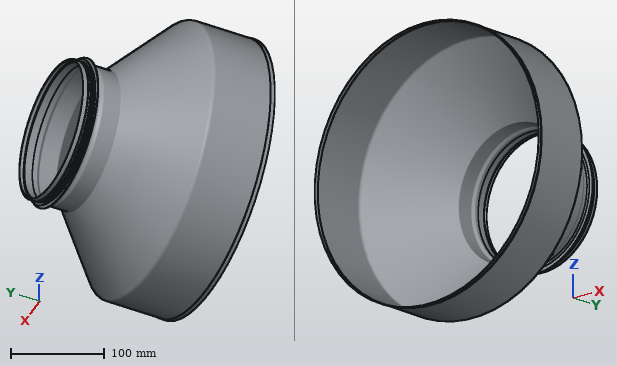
import cadquery as cq
import math

total_length = 189.98
sheet = 0.5

lip_radius = 317.47 / 2
lip_length = 5.2
barrel_radius = 316.45 / 2
shoulder_y = 72.7
shoulder_bend = 5.2

spigot_radius = 159.0 / 2
spigot_base_depth = 44.7
neck_bend = 1.2
curl_radius = 155.4 / 2
curl_bend = 1.5
groove_radius = 154.2 / 2
groove_start_depth = 5.9
groove_end_depth = 20.7
ramp_end_depth = 24.0
ramp_bend = 1.5

seal_base_radius = 157.6 / 2
seal_collar_radius = 159.0 / 2
fin_thickness = 1.0
seal_end_depth = 15.2
seal_fins = [
    (164.4 / 2, 11.4, 2.0),
    (169.4 / 2, seal_end_depth, 1.2),
]


def from_end(depth):
    """Y position of a point lying the given depth behind the spigot end."""
    return total_length - depth


def left_normal(start, end):
    """Unit vector pointing left of the direction from start to end."""
    length = math.dist(start, end)
    return (start[1] - end[1]) / length, (end[0] - start[0]) / length


def offset_corners(corners, distance):
    """Shift an open path of (radius, y, bend) corners to its left, keeping bends concentric."""
    shifted = []
    last = len(corners) - 1
    for i, (x, y, bend) in enumerate(corners):
        before = left_normal(corners[max(i - 1, 0)][:2], corners[max(i, 1)][:2])
        after = left_normal(corners[min(i, last - 1)][:2], corners[min(i + 1, last)][:2])
        scale = distance / (1 + before[0] * after[0] + before[1] * after[1])
        turns_left = before[0] * after[1] - before[1] * after[0] > 0
        new_bend = bend
        if bend:
            new_bend = bend - distance if turns_left else bend + distance
        shifted.append((x + scale * (before[0] + after[0]), y + scale * (before[1] + after[1]), new_bend))
    return shifted


def revolve_outline(corners):
    """Revolve a closed outline of (radius, y, bend) corners about Y, rounding corners that have a bend."""
    outline = cq.Workplane("XY").moveTo(*corners[0][:2])
    for i in range(1, len(corners)):
        x, y, bend = corners[i]
        if not bend:
            outline = outline.lineTo(x, y)
            continue
        corner = cq.Vector(x, y)
        to_previous = (cq.Vector(*corners[i - 1][:2]) - corner).normalized()
        to_next = (cq.Vector(*corners[i + 1][:2]) - corner).normalized()
        half_angle = to_previous.getAngle(to_next) / 2
        tangent_length = bend / math.tan(half_angle)
        middle_distance = bend / math.sin(half_angle) - bend
        arc_start = corner + to_previous * tangent_length
        arc_middle = corner + (to_previous + to_next).normalized() * middle_distance
        arc_end = corner + to_next * tangent_length
        outline = outline.lineTo(arc_start.x, arc_start.y)
        outline = outline.threePointArc((arc_middle.x, arc_middle.y), (arc_end.x, arc_end.y))
    return outline.close().revolve(360, (0, 0, 0), (0, 1, 0))


def make_reducer():
    """Sheet-metal reducer: widened lip, barrel, cone, and a spigot with a seal groove and curled end."""
    outer_skin = [
        (lip_radius, 0, 0),
        (lip_radius, lip_length, 0),
        (barrel_radius, lip_length, 0),
        (barrel_radius, shoulder_y, shoulder_bend),
        (spigot_radius, from_end(spigot_base_depth), neck_bend),
        (spigot_radius, from_end(ramp_end_depth), ramp_bend),
        (groove_radius, from_end(groove_end_depth), ramp_bend),
        (groove_radius, from_end(groove_start_depth), 0),
        (spigot_radius, from_end(groove_start_depth), 0),
        (spigot_radius, total_length, curl_bend),
        (curl_radius, total_length, 0),
    ]
    inner_skin = offset_corners(outer_skin, sheet)
    return revolve_outline(outer_skin + inner_skin[::-1])


def make_seal():
    """Seal ring filling the start of the groove, with two thin fins backed by low tapered collars."""
    outline = [
        (groove_radius, from_end(groove_start_depth), 0),
        (seal_base_radius, from_end(groove_start_depth), 0),
    ]
    for fin_radius, fin_depth, collar_length in seal_fins:
        fin_top_y = from_end(fin_depth - fin_thickness)
        outline += [
            (seal_base_radius, fin_top_y + collar_length, 0),
            (seal_collar_radius, fin_top_y + collar_length / 2, 0),
            (seal_collar_radius, fin_top_y, 0),
            (fin_radius, fin_top_y, 0),
            (fin_radius, from_end(fin_depth), 0),
            (seal_base_radius, from_end(fin_depth), 0),
        ]
    outline.append((groove_radius, from_end(seal_end_depth), 0))
    return revolve_outline(outline)


reducer = make_reducer()
seal = make_seal()

result = cq.Compound.makeCompound([reducer.val(), seal.val()])